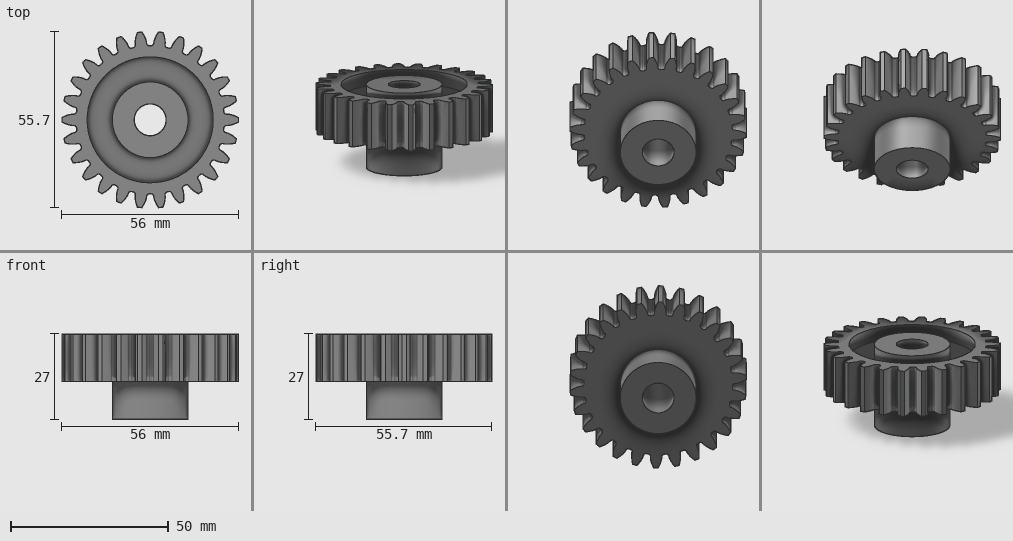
import cadquery as cq
import math


outer_diameter = 56.0
tooth_count = 26
pressure_angle = math.radians(20)
addendum_factor = 1.0
dedendum_factor = 1.25
root_fillet = 0.85
flank_points = 6

face_width = 15.0
hub_diameter = 24.0
hub_length = 12.0
bore_diameter = 10.0
recess_diameter = 40.0
recess_depth = 4.5

module = outer_diameter / (tooth_count + 2 * addendum_factor)
outer_radius = outer_diameter / 2
pitch_radius = module * tooth_count / 2
root_radius = pitch_radius - dedendum_factor * module
base_radius = pitch_radius * math.cos(pressure_angle)
tooth_pitch = 2 * math.pi / tooth_count


def involute(angle):
    return math.tan(angle) - angle


base_half_angle = tooth_pitch / 4 + involute(pressure_angle)


def polar(radius, angle):
    return (radius * math.cos(angle), radius * math.sin(angle))


def flank_offsets():
    """Radius and half tooth angle at points from the base circle to the tip."""
    offsets = []
    for i in range(flank_points):
        radius = base_radius + (outer_radius - base_radius) * i / (flank_points - 1)
        roll = math.acos(min(1.0, base_radius / radius))
        offsets.append((radius, base_half_angle - involute(roll)))
    return offsets


def gear_outline():
    """Closed outline of all teeth, the first tooth centred on +X."""
    offsets = flank_offsets()
    outline = cq.Workplane("XY").moveTo(*polar(root_radius, -base_half_angle))
    for tooth in range(tooth_count):
        centre = tooth * tooth_pitch
        rising = [polar(radius, centre - half) for radius, half in offsets]
        falling = [polar(radius, centre + half) for radius, half in reversed(offsets)]
        gap_centre = centre + tooth_pitch / 2
        next_root = centre + tooth_pitch - base_half_angle
        outline = (
            outline.lineTo(*rising[0])
            .spline(rising[1:], includeCurrent=True)
            .threePointArc(polar(outer_radius, centre), falling[0])
            .spline(falling[1:], includeCurrent=True)
            .lineTo(*polar(root_radius, centre + base_half_angle))
            .threePointArc(polar(root_radius, gap_centre), polar(root_radius, next_root))
        )
    return outline.close()


def is_root_edge(edge):
    middle = edge.Center()
    halfway_to_base = (root_radius + base_radius) / 2
    return math.hypot(middle.x, middle.y) < halfway_to_base


def toothed_rim():
    blank = gear_outline().extrude(face_width)
    return blank.edges("|Z").filter(is_root_edge).fillet(root_fillet)


def recess():
    """Ring around the hub, sunk from the upper face."""
    return (
        cq.Workplane("XY", origin=(0, 0, face_width))
        .circle(recess_diameter / 2)
        .circle(hub_diameter / 2)
        .extrude(-recess_depth)
    )


hub = cq.Workplane("XY").circle(hub_diameter / 2).extrude(-hub_length)
bore = (
    cq.Workplane("XY", origin=(0, 0, -hub_length))
    .circle(bore_diameter / 2)
    .extrude(hub_length + face_width)
)

result = toothed_rim().union(hub).cut(recess()).cut(bore)